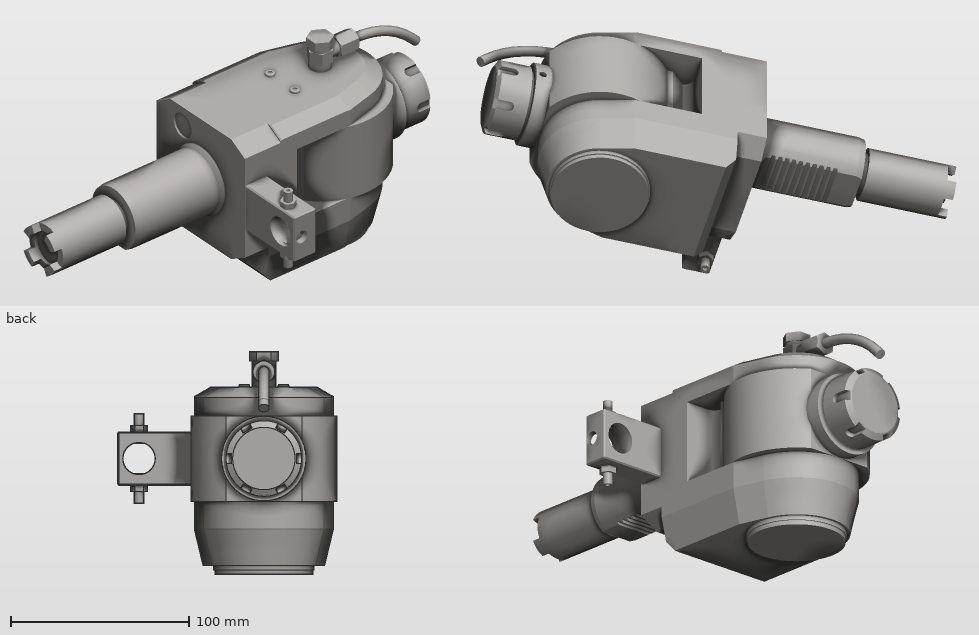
import cadquery as cq
import math


half_width = 39.0
housing_top = 40.0
back_radius = 35.0
turret_y = 86.5
back_y = turret_y + back_radius
side_end_y = 76.5
chamfer_slope = math.radians(30.0)
rim_chamfer = 9.8
front_chamfer = 12.0
front_chamfer_end_y = 26.0
side_chamfer = 9.2
side_chamfer_y = (26.5, 75.0)
base_top = -39.5
base_bottom = -60.0
base_draft = 13.5
base_front_y = 17.0
base_chamfer_run = 5.5
base_chamfer_rise = 6.6

drum_radius = 41.0
drum_half_height = 24.0
pocket_front_y = 37.8
pocket_corner_radius = 5.5
pocket_step_x = 25.1
pocket_step_y = (50.8, 54.1)
pocket_inner_x = 17.6

cover_radius = 28.3
cover_rim_radius = 27.5
cover_step_z = -62.4
cover_bottom = -65.0
plug_x, plug_z = -16.0, 27.7
plug_radius = 7.8
plug_depth = 1.2

flange_radius = 21.7
flange_edge_y = -1.2
shank_start_y = -3.2
shank_radius = 20.0
shank_tip_radius = 19.3
shank_taper_y = -59.5
shank_end_y = -63.0
neck_radius = 12.0
coupling_start_y = -66.4
coupling_radius = 15.1
lug_start_y = -112.0
lug_end_y = -117.2
lug_inner_radius = 10.4
lug_angle = math.radians(40.0)
lug_count = 4
coupling_bore_depth = 2.0
flat_z = -16.5
flat_start_y = -6.8
tooth_depth = 1.2
tooth_pitch = 4.0
tooth_gap_root = 2.0
tooth_gap_mouth = 3.0
tooth_gap_count = 10
last_tooth_gap_y = -47.2

collar_radius = 23.7
collar_end_y = 129.8
nut_groove_radius = 19.0
nut_start_y = 131.5
nut_radius = 21.2
nut_edge_y = 149.2
nut_end_y = 151.2
nut_face_radius = 17.5
nut_slot_width = 5.8
nut_slot_depth = 3.0
nut_slot_start_y = 139.5
nut_slot_count = 6
collar_hole_y = 126.0
collar_hole_radius = 2.2
collar_hole_depth = 3.0

arm_end_x = 82.0
arm_half_height = 15.0
arm_y = (0.5, 16.5)
arm_chamfer = 0.8
bore_x = 70.0
bore_radius = 9.0
stud_y = 6.0
stud_radius = 2.7
stud_tip_z = 25.2
stud_inner_z = 8.5
stud_socket_flats = 2.2
stud_socket_depth = 2.0
stud_nut_flats = 8.2
stud_nut_height = 3.5
side_hole_radius = 4.0

fitting_radius = 6.75
fitting_cap_flats = 14.0
fitting_cap_z = (54.7, 59.9)
fitting_hex_flats = 13.5
fitting_hex_z = (44.5, 52.4)
outlet_z = 48.6
outlet_radius = 5.0
outlet_nut_y = (97.0, 110.2)
outlet_nut_flats = 12.0
outlet_nut_chamfer = 0.8
hose_radius = 3.0
hose_bend_y = 111.35
hose_bend_radius = 58.5
hose_bend_angle = math.radians(45.0)
hose_tail = 4.5

screw_x, screw_y = 11.0, 59.2
screw_radius = 3.0
screw_height = 1.6
screw_socket_radius = 1.4
screw_socket_depth = 1.0

overlap = 1.0
clearance = 20.0


def box(x, y, z):
    """Box between the given (low, high) pairs."""
    size = (x[1] - x[0], y[1] - y[0], z[1] - z[0])
    return cq.Workplane("XY").box(*size, centered=False).translate((x[0], y[0], z[0]))


def cylinder_z(x, y, radius, z):
    return cq.Workplane("XY", origin=(x, y, z[0])).circle(radius).extrude(z[1] - z[0])


def cylinder_y(x, z, radius, y):
    return cq.Workplane("XZ", origin=(x, y[0], z)).circle(radius).extrude(y[0] - y[1])


def hex_z(x, y, flats, z, turn=0.0):
    """Vertical hexagon bar with corners along X, turned about its own axis."""
    corners = flats / math.cos(math.pi / 6)
    bar = cq.Workplane("XY").polygon(6, corners).extrude(z[1] - z[0])
    return bar.rotate((0, 0, 0), (0, 0, 1), turn).translate((x, y, z[0]))


def turned_y(profile):
    """Revolve (radius, y) points about the Y axis."""
    return cq.Workplane("XY").polyline(profile).close().revolve(360, (0, 0, 0), (0, 1, 0))


def housing_outline(z):
    """Plan of the housing at height z: straight sides, tangent slopes and a round back."""
    corner_dy = side_end_y - turret_y
    corner_distance = math.hypot(half_width, corner_dy)
    tangent = math.atan2(corner_dy, half_width) + math.acos(back_radius / corner_distance)
    arc_x = back_radius * math.cos(tangent)
    arc_y = turret_y + back_radius * math.sin(tangent)
    return (
        cq.Workplane("XY", origin=(0, 0, z))
        .moveTo(-half_width, -clearance)
        .lineTo(half_width, -clearance)
        .lineTo(half_width, side_end_y)
        .lineTo(arc_x, arc_y)
        .threePointArc((0, back_y), (-arc_x, arc_y))
        .lineTo(-half_width, side_end_y)
        .close()
    )


def chamfered_prism(chamfer, y):
    """Full-size housing block between two Y values with all four long edges chamfered."""
    drop = chamfer * math.tan(chamfer_slope)
    inner_x = half_width - chamfer
    low_z = housing_top - drop
    right = [(inner_x, -housing_top), (half_width, -low_z), (half_width, low_z), (inner_x, housing_top)]
    left = [(-x, z) for x, z in reversed(right)]
    section = cq.Workplane("XZ", origin=(0, y[0], 0)).polyline(right + left).close()
    return section.extrude(y[0] - y[1])


def make_housing():
    rim_z = housing_top - rim_chamfer * math.tan(chamfer_slope)
    body = housing_outline(base_top).extrude(rim_z - base_top)
    rim_taper = 90.0 - math.degrees(chamfer_slope)
    body = body.union(housing_outline(rim_z).extrude(housing_top - rim_z, taper=rim_taper))
    wide = (-half_width - clearance, half_width + clearance)
    tall = (base_bottom - clearance, housing_top + clearance)
    body = body.cut(box(wide, (-2 * clearance, front_chamfer_end_y), tall))
    front = chamfered_prism(front_chamfer, (0, front_chamfer_end_y))
    front_base = box(wide, (base_front_y, back_y), (-housing_top - clearance, base_top))
    body = body.union(front.cut(front_base))
    base_root = box((-half_width, half_width), (base_front_y, front_chamfer_end_y), (base_top, 0))
    body = body.union(base_root)
    side_rims = chamfered_prism(side_chamfer, side_chamfer_y)
    body = body.union(side_rims.intersect(box(wide, side_chamfer_y, (0, housing_top))))

    base = housing_outline(base_top).extrude(base_bottom - base_top, taper=base_draft)
    base_side = [
        (base_front_y, base_top),
        (base_front_y, base_bottom + base_chamfer_rise),
        (base_front_y + base_chamfer_run, base_bottom),
        (back_y, base_bottom),
        (back_y, base_top),
    ]
    base_limit = cq.Workplane("YZ").polyline(base_side).close().extrude(half_width, both=True)
    return body.union(base.intersect(base_limit))


def make_pocket():
    """Side pocket in front of the drum on the -X side."""
    outer_x = -half_width - clearance
    corner_x = -pocket_inner_x
    fillet_y = pocket_front_y + pocket_corner_radius
    start_x = corner_x - pocket_corner_radius
    arc_offset = pocket_corner_radius * math.sqrt(0.5)
    return (
        cq.Workplane("XY", origin=(0, 0, -drum_half_height))
        .moveTo(outer_x, pocket_front_y)
        .lineTo(start_x, pocket_front_y)
        .threePointArc((start_x + arc_offset, fillet_y - arc_offset), (corner_x, fillet_y))
        .lineTo(-pocket_step_x, pocket_step_y[0])
        .lineTo(-pocket_step_x, pocket_step_y[1])
        .lineTo(-pocket_step_x, turret_y)
        .lineTo(outer_x, turret_y)
        .close()
        .extrude(2 * drum_half_height)
    )


def make_drum():
    drum = cylinder_z(0, turret_y, drum_radius, (-drum_half_height, drum_half_height))
    wide = (-drum_radius, drum_radius)
    return drum.intersect(box(wide, (turret_y - drum_radius, back_y), wide))


def make_cover():
    rim = cylinder_z(0, turret_y, cover_rim_radius, (cover_bottom, base_bottom))
    return rim.union(cylinder_z(0, turret_y, cover_radius, (cover_step_z, base_bottom + overlap)))


def make_shank():
    shank = turned_y([
        (0, overlap),
        (flange_radius, overlap),
        (flange_radius, flange_edge_y),
        (shank_radius, shank_start_y),
        (shank_radius, shank_taper_y),
        (shank_tip_radius, shank_end_y),
        (0, shank_end_y),
    ])
    ramp_drop = flange_radius + clearance
    flat = [
        (flat_start_y, flat_z),
        (flat_start_y + ramp_drop, flat_z - ramp_drop),
        (shank_end_y - clearance, flat_z - ramp_drop),
        (shank_end_y - clearance, flat_z),
    ]
    shank = shank.cut(cq.Workplane("YZ").polyline(flat).close().extrude(shank_radius, both=True))
    root_z = flat_z + tooth_depth
    for index in range(tooth_gap_count):
        y = last_tooth_gap_y + index * tooth_pitch
        gap = [
            (y - tooth_gap_mouth / 2, flat_z),
            (y - tooth_gap_root / 2, root_z),
            (y + tooth_gap_root / 2, root_z),
            (y + tooth_gap_mouth / 2, flat_z),
        ]
        shank = shank.cut(cq.Workplane("YZ").polyline(gap).close().extrude(shank_radius, both=True))
    return shank


def make_coupling():
    """Neck and hollow-ended coupling with wedge-shaped lugs."""
    neck = cylinder_y(0, 0, neck_radius, (coupling_start_y - overlap, shank_end_y + overlap))
    coupling = cylinder_y(0, 0, coupling_radius, (lug_end_y, coupling_start_y))
    step = 2 * math.pi / lug_count
    reach = 2 * coupling_radius
    half_spread = reach * math.tan((step - lug_angle) / 2)
    gap = (
        cq.Workplane("XZ", origin=(0, lug_start_y, 0))
        .polyline([(0, 0), (reach, half_spread), (reach, -half_spread)])
        .close()
        .extrude(lug_start_y - lug_end_y)
    )
    for index in range(lug_count):
        coupling = coupling.cut(gap.rotate((0, 0, 0), (0, 1, 0), index * math.degrees(step)))
    bore_span = (lug_end_y, lug_start_y + coupling_bore_depth)
    coupling = coupling.cut(cylinder_y(0, 0, lug_inner_radius, bore_span))
    return neck.union(coupling)


def make_spindle_nose():
    nose = turned_y([
        (0, back_y - overlap),
        (collar_radius, back_y - overlap),
        (collar_radius, collar_end_y),
        (nut_groove_radius, collar_end_y),
        (nut_groove_radius, nut_start_y),
        (nut_radius, nut_start_y),
        (nut_radius, nut_edge_y),
        (nut_face_radius, nut_end_y),
        (0, nut_end_y),
    ])
    floor = nut_radius - nut_slot_depth
    round_y = nut_slot_start_y + nut_slot_width / 2
    half_slot = (-nut_slot_width / 2, nut_slot_width / 2)
    slot = box(half_slot, (round_y, nut_end_y + overlap), (floor, nut_radius + overlap))
    slot = slot.union(cylinder_z(0, round_y, nut_slot_width / 2, (floor, nut_radius + overlap)))
    step = 360.0 / nut_slot_count
    for index in range(nut_slot_count):
        nose = nose.cut(slot.rotate((0, 0, 0), (0, 1, 0), (index + 0.5) * step))
    hole = cq.Workplane("YZ", origin=(-collar_radius, collar_hole_y, 0)).circle(collar_hole_radius)
    return nose.cut(hole.extrude(collar_hole_depth))


def make_arm():
    arm = box((half_width, arm_end_x), arm_y, (-arm_half_height, arm_half_height))
    arm = arm.edges(">X or (|X and >Z) or (|X and <Z)").chamfer(arm_chamfer)
    root = box((half_width - overlap, half_width + overlap), arm_y, (-bore_radius, bore_radius))
    arm = arm.union(root)
    arm = arm.cut(cylinder_y(bore_x, 0, bore_radius, arm_y))
    side_hole = cq.Workplane("YZ", origin=(bore_x, stud_y, 0)).circle(side_hole_radius)
    arm = arm.cut(side_hole.extrude(arm_end_x - bore_x))
    stud = cylinder_z(bore_x, stud_y, stud_radius, (stud_inner_z, stud_tip_z))
    socket = hex_z(bore_x, stud_y, stud_socket_flats, (stud_tip_z - stud_socket_depth, stud_tip_z))
    stud = stud.cut(socket)
    nut_top = arm_half_height + stud_nut_height
    stud = stud.union(hex_z(bore_x, stud_y, stud_nut_flats, (arm_half_height - overlap, nut_top)))
    return arm.union(stud).union(stud.mirror("XY"))


def make_fitting():
    stem = cylinder_z(0, turret_y, fitting_radius, (housing_top - overlap, fitting_cap_z[1]))
    fitting = stem.union(hex_z(0, turret_y, fitting_cap_flats, fitting_cap_z))
    fitting = fitting.union(hex_z(0, turret_y, fitting_hex_flats, fitting_hex_z, turn=30.0))
    nut_start, nut_end = outlet_nut_y
    fitting = fitting.union(cylinder_y(0, outlet_z, outlet_radius, (turret_y, nut_start + overlap)))

    corner_radius = outlet_nut_flats / 2 / math.cos(math.pi / 6)
    nut = hex_z(0, 0, outlet_nut_flats, (-nut_end, -nut_start), turn=30.0)
    nut = nut.rotate((0, 0, 0), (1, 0, 0), 90.0)
    rounding = turned_y([
        (0, nut_start),
        (corner_radius - outlet_nut_chamfer, nut_start),
        (corner_radius, nut_start + outlet_nut_chamfer),
        (corner_radius, nut_end - outlet_nut_chamfer),
        (corner_radius - outlet_nut_chamfer, nut_end),
        (0, nut_end),
    ])
    return fitting.union(nut.intersect(rounding).translate((0, 0, outlet_z)))


def make_hose():
    def bend_point(angle):
        y = hose_bend_y + hose_bend_radius * math.sin(angle)
        return y, outlet_z - hose_bend_radius * (1 - math.cos(angle))

    bend_end = bend_point(hose_bend_angle)
    tip_y = bend_end[0] + hose_tail * math.cos(hose_bend_angle)
    tip_z = bend_end[1] - hose_tail * math.sin(hose_bend_angle)
    start_y = outlet_nut_y[1] - overlap
    path = (
        cq.Workplane("YZ")
        .moveTo(start_y, outlet_z)
        .lineTo(hose_bend_y, outlet_z)
        .threePointArc(bend_point(hose_bend_angle / 2), bend_end)
        .lineTo(tip_y, tip_z)
    )
    return cq.Workplane("XZ", origin=(0, start_y, outlet_z)).circle(hose_radius).sweep(path)


def make_screw(x):
    head_top = housing_top + screw_height
    head = cylinder_z(x, screw_y, screw_radius, (housing_top - overlap, head_top))
    head = head.faces(">Z").edges().fillet(screw_height / 2)
    return head.cut(cylinder_z(x, screw_y, screw_socket_radius, (head_top - screw_socket_depth, head_top)))


body = make_housing()
pocket = make_pocket()
body = body.cut(pocket).cut(pocket.mirror("YZ"))
body = body.union(make_drum())
body = body.cut(cylinder_y(plug_x, plug_z, plug_radius, (0, plug_depth)))
features = [
    make_cover(),
    make_shank(),
    make_coupling(),
    make_spindle_nose(),
    make_arm(),
    make_fitting(),
    make_hose(),
    make_screw(-screw_x),
    make_screw(screw_x),
]
for feature in features:
    body = body.union(feature)

result = body